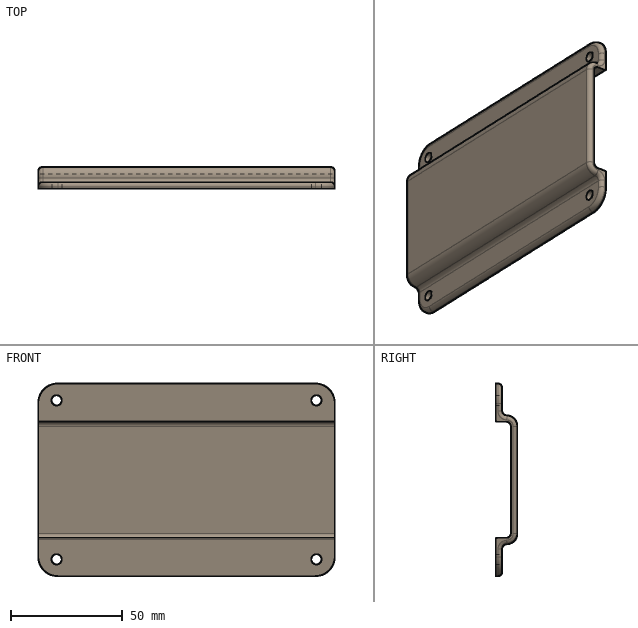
import cadquery as cq
import math

length = 132.74
depth = 9.81
height = 86.28

thickness = 3.0
flange_bend_radius = 2.0
panel_bend_inner_radius = 2.0
panel_bend_outer_radius = panel_bend_inner_radius + thickness
channel_half_height = 25.9
lip_radius = 0.7
back_edge_radius = 2.0

corner_radius = 8.8
hole_diameter = 4.5
hole_spacing_x = 116.2
hole_spacing_z = 71.1

half_length = length / 2
half_height = height / 2
panel_front = depth - thickness

panel_bend_y = depth - panel_bend_outer_radius
panel_bend_z = channel_half_height - panel_bend_inner_radius
flange_bend_y = thickness + flange_bend_radius
bend_center_distance = panel_bend_outer_radius + flange_bend_radius
bend_tilt = math.asin((flange_bend_y - panel_bend_y) / bend_center_distance)
flange_bend_z = panel_bend_z + bend_center_distance * math.cos(bend_tilt)


def on_panel_bend(radius, angle):
    """Point (Y, Z) around the panel bend centre; the angle runs from +Y towards +Z."""
    return (panel_bend_y + radius * math.cos(angle), panel_bend_z + radius * math.sin(angle))


def on_flange_bend(angle):
    """Point (Y, Z) on the concave back arc; the angle runs from -Y towards -Z."""
    return (
        flange_bend_y - flange_bend_radius * math.cos(angle),
        flange_bend_z - flange_bend_radius * math.sin(angle),
    )


def upper_half_sheet():
    """Upper half of the bent sheet: half the centre panel, one double bend and one flange."""
    quarter_turn = math.pi / 2
    junction_angle = quarter_turn - bend_tilt
    lip_offset = lip_radius * (1 - math.sqrt(0.5))
    return (
        cq.Workplane("YZ")
        .moveTo(panel_front, 0)
        .lineTo(panel_front, panel_bend_z)
        .threePointArc(
            on_panel_bend(panel_bend_inner_radius, quarter_turn / 2),
            on_panel_bend(panel_bend_inner_radius, quarter_turn),
        )
        .lineTo(lip_radius, channel_half_height)
        .threePointArc((lip_offset, channel_half_height + lip_offset), (0, channel_half_height + lip_radius))
        .lineTo(0, half_height)
        .lineTo(thickness, half_height)
        .lineTo(thickness, flange_bend_z)
        .threePointArc(on_flange_bend(junction_angle / 2), on_flange_bend(junction_angle))
        .threePointArc(on_panel_bend(panel_bend_outer_radius, junction_angle / 2), (depth, panel_bend_z))
        .lineTo(depth, 0)
        .close()
        .extrude(half_length, both=True)
    )


def bent_sheet():
    """Full hat section, symmetric about its mid height."""
    upper = upper_half_sheet()
    return upper.union(upper.mirror("XY")).clean()


def round_corners(body):
    """Round the four outer flange corners."""
    return body.faces(">Z or <Z").edges("|Y").fillet(corner_radius)


def round_back_edges(body):
    """Round the whole back outline; the fillet follows the tangent edges all the way round."""
    return body.faces(">Y").edges("|Z").fillet(back_edge_radius)


def drill_holes(body):
    """Cut one screw hole through the flange at each corner."""
    drills = (
        cq.Workplane("XZ")
        .rect(hole_spacing_x, hole_spacing_z, forConstruction=True)
        .vertices()
        .circle(hole_diameter / 2)
        .extrude(-depth)
    )
    return body.cut(drills)


sheet = bent_sheet()
cornered = round_corners(sheet)
rounded = round_back_edges(cornered)
result = drill_holes(rounded)